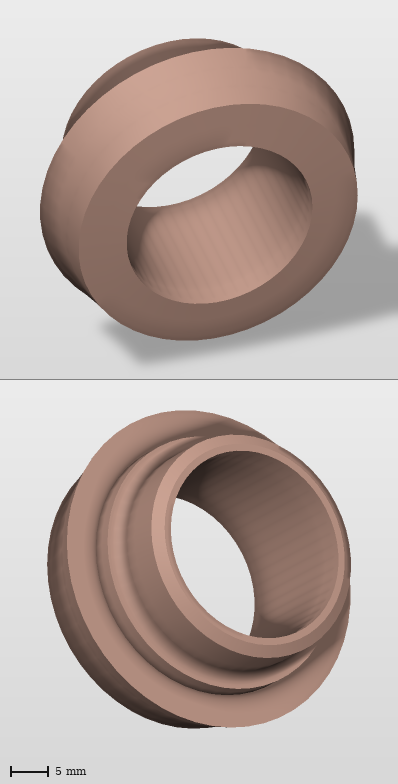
import cadquery as cq

length = 22.0
bore_diameter = 26.0
tip_diameter = 27.95
spigot_diameter = 30.98
collar_diameter = 35.02
flange_diameter = 44.0
rim_diameter = 39.05

tip_chamfer_length = 0.92
groove_start = 7.4
collar_start = 8.98
flange_start = 12.05
rim_position = 21.4
collar_lip_width = 0.4
flange_sag = 0.18

bore_radius = bore_diameter / 2
tip_radius = tip_diameter / 2
spigot_radius = spigot_diameter / 2
collar_radius = collar_diameter / 2
flange_radius = flange_diameter / 2
rim_radius = rim_diameter / 2
fillet_top_radius = collar_radius - collar_lip_width

flange_mid = ((flange_start + rim_position) / 2, (flange_radius + rim_radius) / 2 - flange_sag)

half_section = (
    cq.Workplane("XY")
    .moveTo(0, bore_radius)
    .lineTo(0, tip_radius)
    .lineTo(tip_chamfer_length, spigot_radius)
    .lineTo(groove_start, spigot_radius)
    .tangentArcPoint((collar_start, fillet_top_radius), relative=False)
    .lineTo(collar_start, collar_radius)
    .lineTo(flange_start, collar_radius)
    .lineTo(flange_start, flange_radius)
    .threePointArc(flange_mid, (rim_position, rim_radius))
    .lineTo(length, bore_radius)
    .close()
)

result = half_section.revolve(360, (0, 0, 0), (1, 0, 0))